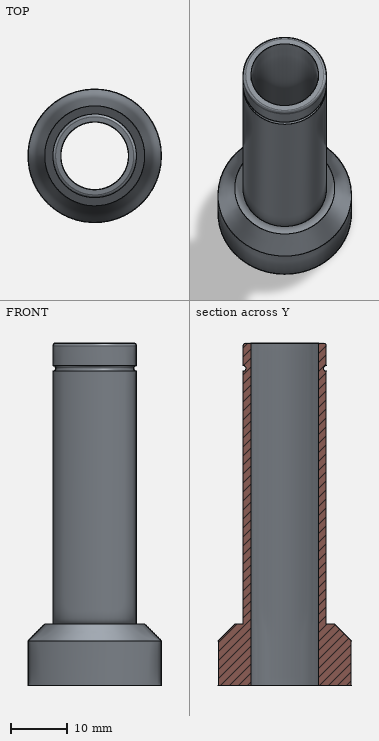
import cadquery as cq

total_height = 61.0
base_diameter = 23.8
tube_diameter = 14.9
bore_diameter = 12.0
base_height = 11.0
base_chamfer = 3.0
rim_radius = 0.5
groove_radius = 0.5
groove_center_from_top = 4.5

base = (
    cq.Workplane("XY")
    .circle(base_diameter / 2)
    .extrude(base_height)
    .faces(">Z")
    .chamfer(base_chamfer)
)

tube = (
    cq.Workplane("XY")
    .circle(tube_diameter / 2)
    .extrude(total_height)
    .faces(">Z")
    .edges()
    .fillet(rim_radius)
)

groove_ring = cq.Workplane(
    cq.Solid.makeTorus(
        tube_diameter / 2,
        groove_radius,
        cq.Vector(0, 0, total_height - groove_center_from_top),
        cq.Vector(0, 0, 1),
    )
)

bore = cq.Workplane("XY").circle(bore_diameter / 2).extrude(total_height)

result = base.union(tube).cut(groove_ring).cut(bore)